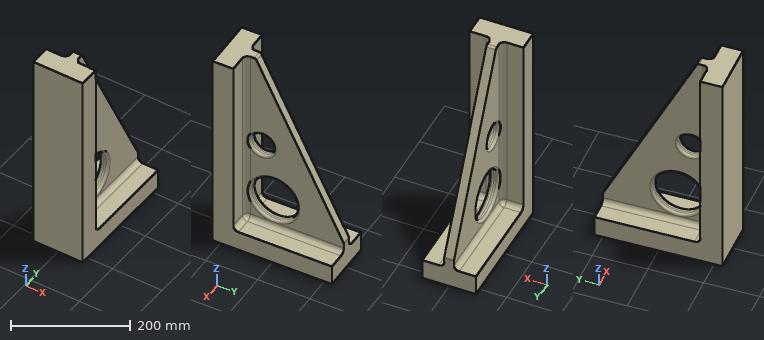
import cadquery as cq
import math

WIDTH = 100.0
DEPTH = 230.0
HEIGHT = 400.0

WALL = 40.0
RIB_THICKNESS = 18.0
INNER_FILLET = 10.0

RIB_TOP_DEPTH = 60.5
RIB_END_HEIGHT = 60.0
EDGE_ROUND = INNER_FILLET / 2

HOLES = [
    (90.0, 95.0, 100.0),
    (45.0, 72.5, 212.5),
]


def make_blank():
    """Full-width block with the side outline, its slope ends rounded."""
    blank = (
        cq.Workplane("YZ")
        .polyline([(0, 0), (DEPTH, 0), (DEPTH, RIB_END_HEIGHT), (RIB_TOP_DEPTH, HEIGHT), (0, HEIGHT)])
        .close()
        .extrude(WIDTH / 2, both=True)
    )
    for corner in [(0, DEPTH, RIB_END_HEIGHT), (0, RIB_TOP_DEPTH, HEIGHT)]:
        blank = blank.edges(cq.selectors.NearestToPointSelector(corner)).fillet(EDGE_ROUND)
    return blank


def make_pocket():
    """Space beside the rib on the +X side, with its inner corner rounded."""
    return (
        cq.Workplane("XY")
        .box(WIDTH, DEPTH, HEIGHT, centered=False)
        .edges("(<X and <Y) or (<X and <Z) or (<Y and <Z)")
        .fillet(INNER_FILLET)
        .translate((RIB_THICKNESS / 2, WALL, WALL))
    )


def make_hole_cutter(diameter, y, z):
    """Turned cutter along X that leaves both rims of a rib hole rounded."""
    radius = diameter / 2
    rim_radius = radius + EDGE_ROUND
    rib_face = RIB_THICKNESS / 2
    round_start = rib_face - EDGE_ROUND
    cutter_end = rib_face + INNER_FILLET
    diagonal = EDGE_ROUND * math.sqrt(0.5)
    arc_middle = (round_start + diagonal, rim_radius - diagonal)
    half_cutter = (
        cq.Workplane("XY")
        .moveTo(0, 0)
        .lineTo(0, radius)
        .lineTo(round_start, radius)
        .threePointArc(arc_middle, (rib_face, rim_radius))
        .lineTo(cutter_end, rim_radius)
        .lineTo(cutter_end, 0)
        .close()
        .revolve(360, (0, 0, 0), (1, 0, 0))
    )
    return half_cutter.union(half_cutter.mirror("YZ")).translate((0, y, z))


pocket = make_pocket()
body = make_blank().cut(pocket).cut(pocket.mirror("YZ"))
for diameter, centre_y, centre_z in HOLES:
    body = body.cut(make_hole_cutter(diameter, centre_y, centre_z))

result = body